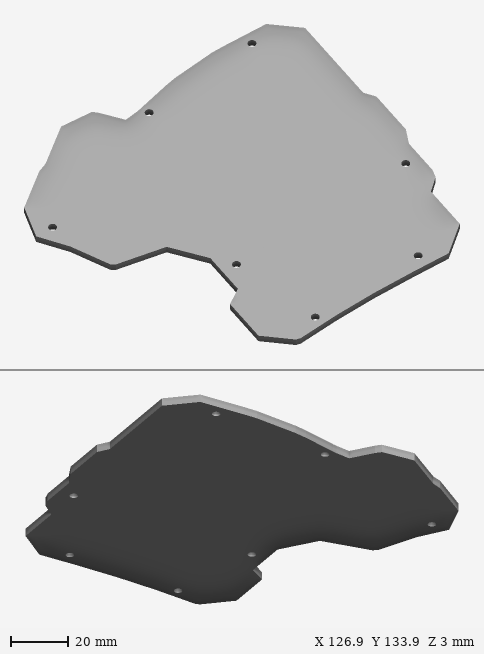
import cadquery as cq

plate_width = 126.9
plate_length = 133.9
plate_thickness = 3.0
hole_diameter = 3.1

left_edge_x = 1.6
right_edge_x = 124.0
top_edge_y = 131.1
shoulder_y = 125.0
inner_bottom_y = 44.5
outer_bottom_y = 38.3

top_edge = [
    (left_edge_x, 120.9),
    (10.7, top_edge_y),
    (46.6, top_edge_y),
    (50.6, plate_length),
    (68.8, plate_length),
    (74.8, top_edge_y),
    (89.4, top_edge_y),
    (92.6, 130.1),
    (97.2, shoulder_y),
    (115.0, shoulder_y),
    (right_edge_x, 114.2),
]

right_arc_start = (right_edge_x, 99.1)
right_arc_middle = (124.6, 75.0)
right_arc_end = (plate_width, 49.8)

bottom_edge = [
    (126.5, 48.0),
    (117.7, outer_bottom_y),
    (100.1, outer_bottom_y),
    (96.0, inner_bottom_y),
    (79.0, inner_bottom_y),
    (66.1, 34.8),
    (62.8, 15.7),
    (61.6, 14.0),
    (47.1, 7.2),
    (36.5, 0.0),
    (23.3, 4.0),
    (12.6, 17.7),
    (11.0, 21.4),
    (0.0, 35.5),
    (0.5, 48.2),
    (2.3, 50.0),
    (10.2, 55.8),
]

left_edge = [
    (9.2, 61.5),
    (8.8, 63.0),
    (8.5, 64.4),
    (5.1, 76.3),
    (4.0, 81.0),
    (1.7, 98.0),
    (left_edge_x, 103.1),
]

hole_centers = [
    (6.2, 111.8),
    (81.7, 125.0),
    (118.9, 104.8),
    (121.8, 59.5),
    (86.5, 50.3),
    (12.0, 64.4),
    (36.3, 7.1),
]

outline = (
    cq.Workplane("XY")
    .polyline(top_edge + [right_arc_start])
    .threePointArc(right_arc_middle, right_arc_end)
)
for corner in bottom_edge + left_edge:
    outline = outline.lineTo(*corner)

plate = outline.close().extrude(plate_thickness)

holes = (
    cq.Workplane("XY")
    .pushPoints(hole_centers)
    .circle(hole_diameter / 2)
    .extrude(plate_thickness)
)

result = plate.cut(holes)